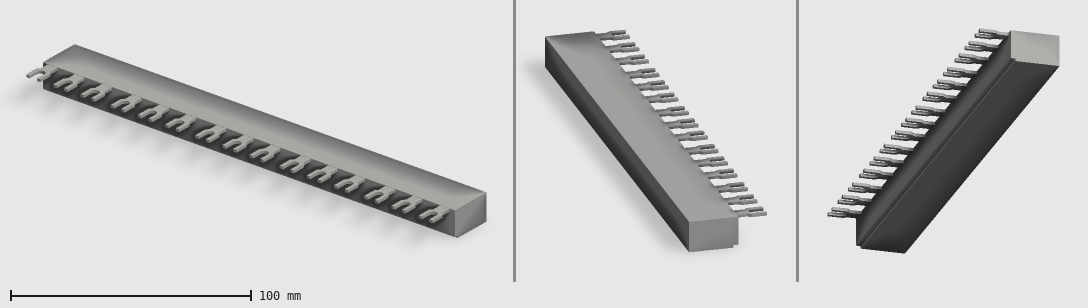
import cadquery as cq

length = 219.2
total_depth = 34.2
height = 13.5
lug_reach = 13.0
step_depth = 2.0
step_height = 1.0
body_depth = total_depth - lug_reach

lug_thickness = 1.3
lug_drop = 0.1
shank_width = 5.0
fork_width = 7.5
prong_length = 6.8
shoulder_height = 1.3
slot_width = 4.0
slot_depth = 7.0
lugs_per_group = 3
group_count = 5
first_lug_x = 5.3
lug_span = 208.7
lug_pitch = 14.5
group_pitch = (lug_span - (lugs_per_group - 1) * lug_pitch) / (group_count - 1)

root_overlap = 1.0


def make_body():
    """Bar with its rear face at Y = total_depth and its front face at Y = lug_reach."""
    block = cq.Workplane("XY").box(length, body_depth, height, centered=False)
    step = cq.Workplane("XY").box(length, step_depth, step_height, centered=False)
    return block.cut(step).translate((0, lug_reach, 0))


def make_lug():
    """Fork lug centred on X = 0, prong tips at Y = 0, open slot with a round end."""
    half_fork = fork_width / 2
    half_shank = shank_width / 2
    half_slot = slot_width / 2
    slot_straight = slot_depth - half_slot
    shoulder_top = prong_length + shoulder_height
    root = lug_reach + root_overlap
    return (
        cq.Workplane("XY")
        .workplane(offset=height - lug_drop - lug_thickness)
        .moveTo(-half_fork, 0)
        .lineTo(-half_fork, prong_length)
        .lineTo(-half_shank, shoulder_top)
        .lineTo(-half_shank, root)
        .lineTo(half_shank, root)
        .lineTo(half_shank, shoulder_top)
        .lineTo(half_fork, prong_length)
        .lineTo(half_fork, 0)
        .lineTo(half_slot, 0)
        .lineTo(half_slot, slot_straight)
        .threePointArc((0, slot_depth), (-half_slot, slot_straight))
        .lineTo(-half_slot, 0)
        .close()
        .extrude(lug_thickness)
    )


result = make_body()
lug = make_lug()
for group in range(group_count):
    for position in range(lugs_per_group):
        lug_x = first_lug_x + group * group_pitch + position * lug_pitch
        result = result.union(lug.translate((lug_x, 0, 0)))